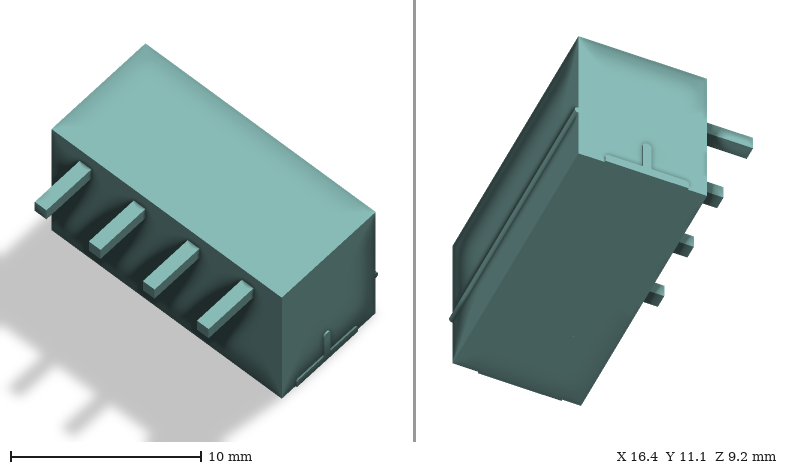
import cadquery as cq

module_count = 4
module_pitch = 3.81
plate_thickness = 0.5
body_depth = 7.4
body_height = 9.2
row_width = module_count * module_pitch

bead_radius = 0.2
bead_height = 3.38

pin_width = 0.82
pin_length = 3.53
pin_drop = 1.43

rib_relief = 0.1
rib_setback = 3.48
foot_width = 4.8
foot_height = 0.55
stem_width = 0.5
rib_height = 2.43
foot_corner_radius = 0.2
stem_root_radius = 0.1


def make_block(width):
    """Block centred on X = 0, front face at Y = 0, with the bead on its back face."""
    block = cq.Workplane("XY").box(width, body_depth, body_height, centered=(True, False, False))
    bead = (
        cq.Workplane("YZ", origin=(-width / 2, 0, 0))
        .center(body_depth, bead_height)
        .circle(bead_radius)
        .extrude(width)
    )
    return block.union(bead)


def make_module(x_center):
    """One module with its contact pin."""
    pin = (
        cq.Workplane("XZ")
        .center(0, body_height - pin_drop)
        .rect(pin_width, pin_width)
        .extrude(pin_length)
    )
    return make_block(module_pitch).union(pin).translate((x_center, 0, 0))


def make_t_rib():
    """Inverted-T rib rising toward +X from the plane X = 0."""
    foot = (
        cq.Workplane("XY")
        .box(rib_relief, foot_width, foot_height, centered=(False, True, False))
        .edges("|X")
        .edges(">Z")
        .fillet(foot_corner_radius)
    )
    half_stem = stem_width / 2
    stem_straight_top = rib_height - half_stem
    stem = (
        cq.Workplane("YZ")
        .moveTo(-half_stem, 0)
        .lineTo(half_stem, 0)
        .lineTo(half_stem, stem_straight_top)
        .threePointArc((0, rib_height), (-half_stem, stem_straight_top))
        .close()
        .extrude(rib_relief)
    )
    stem_roots = cq.selectors.BoxSelector(
        (0, -stem_width, foot_height - stem_root_radius),
        (rib_relief, stem_width, foot_height + stem_root_radius),
    )
    rib = foot.union(stem).edges("|X").edges(stem_roots).fillet(stem_root_radius)
    return rib.translate((0, rib_setback, 0))


def make_right_plate():
    """End plate at the +X end of the row, with its rib facing outward."""
    plate = make_block(plate_thickness).translate(((row_width + plate_thickness) / 2, 0, 0))
    rib = make_t_rib().translate((row_width / 2 + plate_thickness, 0, 0))
    return plate.union(rib)


modules = []
for index in range(module_count):
    x_center = (index - (module_count - 1) / 2) * module_pitch
    modules.append(make_module(x_center))

right_plate = make_right_plate()
left_plate = right_plate.mirror("YZ")

result = cq.Compound.makeCompound(
    [module.solids().val() for module in modules]
    + [left_plate.solids().val(), right_plate.solids().val()]
)